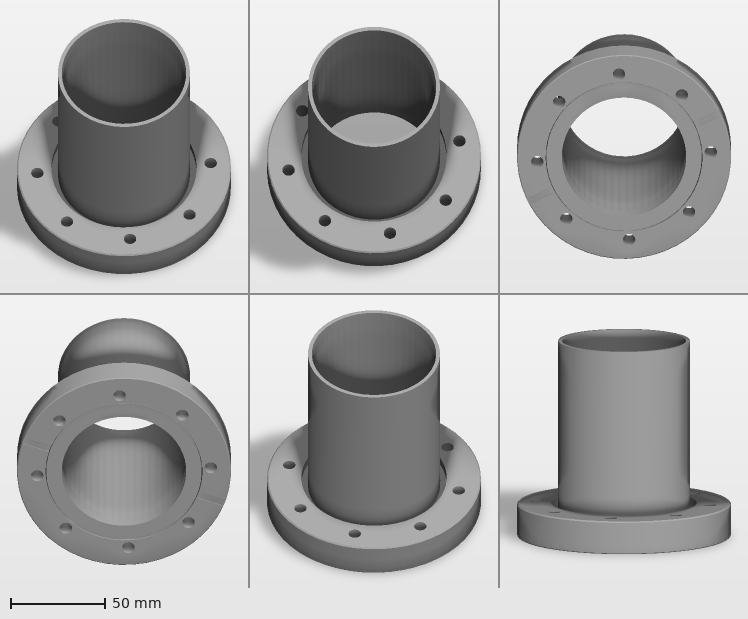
import cadquery as cq

flange_diameter = 113.5
flange_thickness = 17.6
flange_bore = 77.1
lip_thickness = 4.7
seat_diameter = 83.2
top_chamfer = 0.7
bottom_chamfer = 0.5

bolt_count = 8
bolt_hole_diameter = 6.6
bolt_circle_diameter = 92.2

groove_width = 3.7
groove_depth = 0.5

insert_diameter = 82.4
insert_bottom = groove_depth
insert_top = flange_thickness - lip_thickness
socket_diameter = 71.2
socket_depth = 0.6

tube_outer_diameter = 70.0
tube_inner_diameter = 66.0
overall_height = 105.0
tube_bottom = insert_top - socket_depth


def cylinder(diameter, bottom, top):
    """Solid cylinder about the Z axis between two heights."""
    return cq.Workplane("XY").workplane(offset=bottom).circle(diameter / 2).extrude(top - bottom)


def make_flange():
    """Bolted ring with a retaining lip, a seat for the insert and a leak-check groove."""
    body = cylinder(flange_diameter, 0, flange_thickness)
    body = body.faces(">Z").chamfer(top_chamfer)
    body = body.faces("<Z").chamfer(bottom_chamfer)
    body = body.cut(cylinder(flange_bore, 0, flange_thickness))
    body = body.cut(cylinder(seat_diameter, 0, insert_top))

    bolt_holes = (
        cq.Workplane("XY")
        .polarArray(bolt_circle_diameter / 2, 180 / bolt_count, 360, bolt_count)
        .circle(bolt_hole_diameter / 2)
        .extrude(flange_thickness)
    )
    groove = cq.Workplane("XY").rect(flange_diameter, groove_width).extrude(groove_depth)
    return body.cut(bolt_holes).cut(groove)


def make_insert():
    """Ring with the tube's bore and a shallow clearance socket in its upper face."""
    body = cylinder(insert_diameter, insert_bottom, insert_top)
    bore = cylinder(tube_inner_diameter, insert_bottom, insert_top)
    socket = cylinder(socket_diameter, tube_bottom, insert_top)
    return body.cut(bore).cut(socket)


def make_tube():
    """Plain thin-walled tube."""
    outside = cylinder(tube_outer_diameter, tube_bottom, overall_height)
    return outside.cut(cylinder(tube_inner_diameter, tube_bottom, overall_height))


flange = make_flange()
insert = make_insert()
tube = make_tube()

result = cq.Compound.makeCompound([flange.val(), insert.val(), tube.val()])